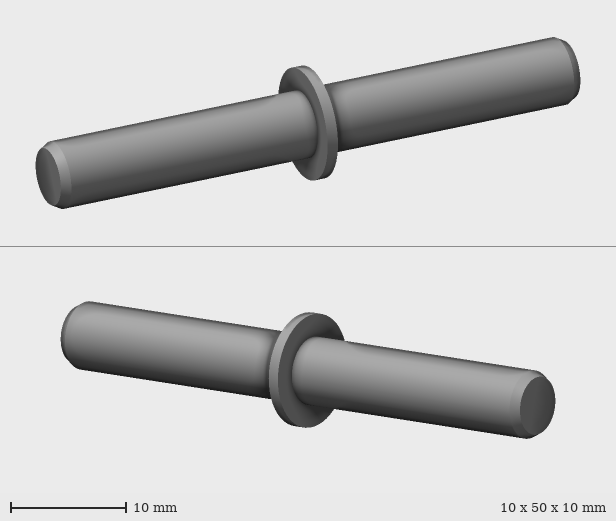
import cadquery as cq

pin_length = 50.0
pin_diameter = 6.0
collar_diameter = 10.0
collar_width = 1.0
chamfer_length = 0.8
chamfer_depth = 0.45

half_length = pin_length / 2
pin_radius = pin_diameter / 2
tip_radius = pin_radius - chamfer_depth
shoulder = half_length - chamfer_length

pin = (
    cq.Workplane("XY")
    .moveTo(0, -half_length)
    .lineTo(tip_radius, -half_length)
    .lineTo(pin_radius, -shoulder)
    .lineTo(pin_radius, shoulder)
    .lineTo(tip_radius, half_length)
    .lineTo(0, half_length)
    .close()
    .revolve(360, (0, 0, 0), (0, 1, 0))
)

collar = (
    cq.Workplane("XZ", origin=(0, collar_width / 2, 0))
    .circle(collar_diameter / 2)
    .extrude(collar_width)
)

result = pin.union(collar)